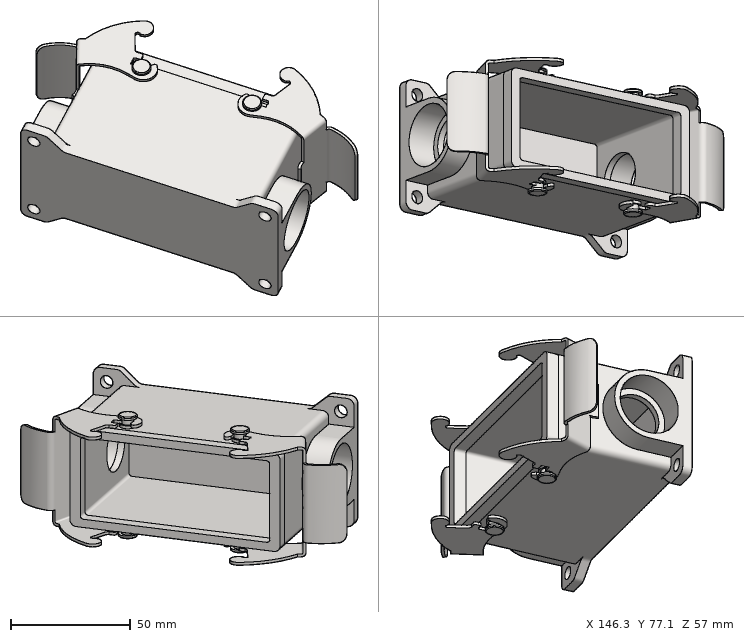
import cadquery as cq
import math


HOUSING_LENGTH = 94.2
HOUSING_WIDTH = 43.6
HOUSING_HEIGHT = 56.8
HOUSING_CORNER_RADIUS = 2.8
SIDE_WALL = 3.7
END_WALL = 4.7

FLANGE_LENGTH = 117.0
FLANGE_WIDTH = 57.0
FLANGE_THICKNESS = 4.4
FLANGE_CORNER_RADIUS = 3.2
EAR_INNER_X = 46.8
EAR_ROOT_X = 39.0
MOUNT_HOLE_DIAMETER = 5.5
MOUNT_HOLE_X = 52.5
MOUNT_HOLE_Z = 22.4

ENTRY_CENTER_Y = 20.0
ENTRY_OUTER_RADIUS = 16.1
ENTRY_BORE_DIAMETER = 27.0
ENTRY_HOLE_DIAMETER = 21.5
ENTRY_BORE_DEPTH = 13.0

FRAME_HEIGHT = 5.4

SHEET = 1.3
LEVER_WIDTH = 48.9
LEVER_BEND_RADIUS = 2.0
WEB_TILT = 21.5
WEB_HEIGHT = 13.8
WEB_BOTTOM = (-51.8, 44.2)
WEB_EDGE = 2.0

PIN_X = 25.2
PIN_Y = 51.7
PIN_BOSS_DIAMETER = 6.9
PIN_SHAFT_DIAMETER = 5.1
PIN_HEAD_DIAMETER = 8.0
PIN_HEAD_THICKNESS = 1.3
PIN_HEAD_CHAMFER = 0.5
PIN_TIP_Z = 27.0
PIVOT_RADIUS = 2.6

HOOK_CENTER = (-32.8, 73.3)
HOOK_RADIUS = 3.8
EAR_CENTER = (-24.7, 52.7)
EAR_RADIUS = 6.0
NOSE_END_X = -27.7
NOSE_TOP_Y = 59.9
NOSE_CORNER_RADIUS = 0.7
NOTCH_X = -30.7
NOTCH_BOTTOM_Y = 53.3

THUMB_WIDTH = 34.8
THUMB_CORNER_RADIUS = 3.7
THUMB_BENDS = [(2.0, 76.0), (24.3, 38.5)]
CATCH_WIDTH = 15.5
CATCH_BENDS = [(4.7, -52.0)]


def on_circle(center, radius, degrees):
    angle = math.radians(degrees)
    return (center[0] + radius * math.cos(angle), center[1] + radius * math.sin(angle))


WEB_TOP = on_circle(WEB_BOTTOM, WEB_HEIGHT, 90 + WEB_TILT)


def upright_block(length, width, height, corner_radius, base_y):
    """Block standing on the plane Y = base_y, with its four upright edges rounded."""
    block = cq.Workplane("XY").box(length, height, width, centered=(True, False, True))
    return block.edges("|Y").fillet(corner_radius).translate((0, base_y, 0))


def cavity(base_y, height):
    inner_radius = HOUSING_CORNER_RADIUS / 2
    return upright_block(HOUSING_LENGTH - 2 * END_WALL, HOUSING_WIDTH - 2 * SIDE_WALL, height, inner_radius, base_y)


def make_flange():
    """Plate whose four mounting ears stand out beyond the width of the housing."""
    quarter = [
        (FLANGE_LENGTH / 2, FLANGE_WIDTH / 2),
        (EAR_INNER_X, FLANGE_WIDTH / 2),
        (EAR_ROOT_X, HOUSING_WIDTH / 2),
    ]
    outline = quarter + [(-x, z) for x, z in reversed(quarter)]
    outline += [(-x, -z) for x, z in quarter]
    outline += [(x, -z) for x, z in reversed(quarter)]
    plate = cq.Workplane("XZ").polyline(outline).close().extrude(-FLANGE_THICKNESS)
    plate = plate.edges("|Y").fillet(FLANGE_CORNER_RADIUS)
    holes = (
        cq.Workplane("XZ")
        .rect(2 * MOUNT_HOLE_X, 2 * MOUNT_HOLE_Z, forConstruction=True)
        .vertices()
        .circle(MOUNT_HOLE_DIAMETER / 2)
        .extrude(-FLANGE_THICKNESS)
    )
    return plate.cut(holes)


def end_cylinder(diameter, length):
    """Cylinder along X on the axis of the cable entries, centered on the housing."""
    return cq.Workplane("YZ").center(ENTRY_CENTER_Y, 0).circle(diameter / 2).extrude(length / 2, both=True)


def make_entry_bosses():
    """Round-topped bosses rising from the flange, made as one bar through the housing."""
    pedestal = cq.Workplane("XY").box(
        FLANGE_LENGTH, ENTRY_CENTER_Y, 2 * ENTRY_OUTER_RADIUS, centered=(True, False, True)
    )
    return pedestal.union(end_cylinder(2 * ENTRY_OUTER_RADIUS, FLANGE_LENGTH))


def make_pin():
    """Headed pin on the +Z wall of the housing, with a boss that spaces the lever from the wall."""
    wall_z = HOUSING_WIDTH / 2
    lever_inner_z = LEVER_WIDTH / 2 - SHEET
    root_z = wall_z - SIDE_WALL / 2
    boss = cq.Workplane("XY", origin=(0, 0, root_z)).circle(PIN_BOSS_DIAMETER / 2).extrude(lever_inner_z - root_z)
    shaft = cq.Workplane("XY", origin=(0, 0, root_z)).circle(PIN_SHAFT_DIAMETER / 2).extrude(PIN_TIP_Z - root_z)
    head = (
        cq.Workplane("XY", origin=(0, 0, PIN_TIP_Z - PIN_HEAD_THICKNESS))
        .circle(PIN_HEAD_DIAMETER / 2)
        .extrude(PIN_HEAD_THICKNESS)
        .faces(">Z")
        .chamfer(PIN_HEAD_CHAMFER)
    )
    return boss.union(shaft).union(head)


def make_housing():
    body = upright_block(HOUSING_LENGTH, HOUSING_WIDTH, HOUSING_HEIGHT, HOUSING_CORNER_RADIUS, 0)
    body = body.union(make_flange()).union(make_entry_bosses())
    body = body.cut(cavity(FLANGE_THICKNESS, HOUSING_HEIGHT))
    body = body.cut(end_cylinder(ENTRY_HOLE_DIAMETER, FLANGE_LENGTH))
    bores = end_cylinder(ENTRY_BORE_DIAMETER, FLANGE_LENGTH).cut(
        end_cylinder(ENTRY_BORE_DIAMETER, FLANGE_LENGTH - 2 * ENTRY_BORE_DEPTH)
    )
    body = body.cut(bores)
    for x in (-PIN_X, PIN_X):
        pin = make_pin().translate((x, PIN_Y, 0))
        body = body.union(pin).union(pin.mirror("XY"))
    return body


def make_frame():
    outer = upright_block(HOUSING_LENGTH, HOUSING_WIDTH, FRAME_HEIGHT, HOUSING_CORNER_RADIUS, HOUSING_HEIGHT)
    return outer.cut(cavity(HOUSING_HEIGHT, FRAME_HEIGHT))


def lever_side_profile():
    """Outline of a side plate in XY: hook above, ear around the pin, web edge at the left."""
    pivot = (-PIN_X, PIN_Y)
    notch_angle = 180 - math.degrees(math.asin((NOTCH_BOTTOM_Y - PIN_Y) / PIVOT_RADIUS))
    throat_x = pivot[0] + PIVOT_RADIUS
    r = NOSE_CORNER_RADIUS
    arc_share = r * (1 - math.sqrt(0.5))
    return (
        cq.Workplane("XY")
        .moveTo(*WEB_BOTTOM)
        .lineTo(*WEB_TOP)
        .lineTo(*on_circle(WEB_TOP, WEB_EDGE, WEB_TILT))
        .lineTo(-53.4, 58.4)
        .threePointArc((-47.0, 67.9), on_circle(HOOK_CENTER, HOOK_RADIUS, 117))
        .threePointArc(on_circle(HOOK_CENTER, HOOK_RADIUS, 0), on_circle(HOOK_CENTER, HOOK_RADIUS, -97))
        .threePointArc((-34.8, 69.8), (-35.1, 68.5))
        .lineTo(-32.2, 61.8)
        .threePointArc((-31.6, 60.6), (-30.6, NOSE_TOP_Y))
        .lineTo(NOSE_END_X - r, NOSE_TOP_Y)
        .threePointArc((NOSE_END_X - arc_share, NOSE_TOP_Y - arc_share), (NOSE_END_X, NOSE_TOP_Y - r))
        .lineTo(NOSE_END_X, HOUSING_HEIGHT)
        .lineTo(NOTCH_X + r, HOUSING_HEIGHT)
        .threePointArc((NOTCH_X + arc_share, HOUSING_HEIGHT - arc_share), (NOTCH_X, HOUSING_HEIGHT - r))
        .lineTo(NOTCH_X, NOTCH_BOTTOM_Y)
        .lineTo(*on_circle(pivot, PIVOT_RADIUS, notch_angle))
        .threePointArc(on_circle(pivot, PIVOT_RADIUS, -90), (throat_x, PIN_Y))
        .lineTo(throat_x, 55.2)
        .lineTo(-21.7, 56.5)
        .threePointArc((-20.8, 56.8), on_circle(EAR_CENTER, EAR_RADIUS, 36))
        .threePointArc(on_circle(EAR_CENTER, EAR_RADIUS, -30), on_circle(EAR_CENTER, EAR_RADIUS, -102))
        .lineTo(-31.0, 48.0)
        .threePointArc((-41.3, 48.1), on_circle(WEB_BOTTOM, WEB_EDGE, WEB_TILT))
        .close()
    )


def web_plane(origin):
    """Plane square to the web: its x points into the lever, its normal runs up the web."""
    tilt = math.radians(WEB_TILT)
    return cq.Plane(
        origin=(origin[0], origin[1], 0),
        xDir=(math.cos(tilt), math.sin(tilt), 0),
        normal=(-math.sin(tilt), math.cos(tilt), 0),
    )


def lever_channel():
    """U-shaped sheet section that runs along the web: web on the outside, plates on both sides."""
    reach = 58.5

    def bar(start, width, bend_radius):
        block = cq.Workplane("XY").box(reach, width, 2 * reach, centered=(False, True, True))
        return block.faces("<X").edges("|Z").fillet(bend_radius).translate((start, 0, 0))

    section = bar(0, LEVER_WIDTH, LEVER_BEND_RADIUS).cut(
        bar(SHEET, LEVER_WIDTH - 2 * SHEET, LEVER_BEND_RADIUS - SHEET)
    )
    plane = web_plane(WEB_BOTTOM)
    return cq.Workplane(section.val().moved(cq.Location(plane)))


def bent_strip(start, heading, bends, width):
    """Sheet strip that leaves start in the heading and follows (middle radius, turn) bends in XY."""
    left = [on_circle(start, SHEET / 2, heading + 90)]
    right = [on_circle(start, SHEET / 2, heading - 90)]
    position = start
    for radius, turn in bends:
        side = math.copysign(90, turn)
        center = on_circle(position, radius, heading + side)
        left_radius = radius - math.copysign(SHEET / 2, turn)
        right_radius = radius + math.copysign(SHEET / 2, turn)
        for swept in (turn / 2, turn):
            spoke = heading + swept - side
            left.append(on_circle(center, left_radius, spoke))
            right.append(on_circle(center, right_radius, spoke))
        heading += turn
        position = on_circle(center, radius, heading - side)
    outline = cq.Workplane("XY").moveTo(*left[0])
    for i in range(1, len(left), 2):
        outline = outline.threePointArc(left[i], left[i + 1])
    outline = outline.lineTo(*right[-1])
    for i in range(len(right) - 2, 0, -2):
        outline = outline.threePointArc(right[i], right[i - 1])
    return outline.close().extrude(width / 2, both=True), position


def web_middle(outer_point):
    """Point at half the sheet thickness behind a point of the outer web face."""
    return on_circle(outer_point, SHEET / 2, WEB_TILT)


def make_left_lever():
    plates = lever_side_profile().extrude(LEVER_WIDTH / 2, both=True)
    lever = plates.intersect(lever_channel())
    thumb, thumb_end = bent_strip(web_middle(WEB_TOP), 90 + WEB_TILT, THUMB_BENDS, THUMB_WIDTH)
    end_box = cq.selectors.BoxSelector(
        (thumb_end[0] - SHEET, thumb_end[1] - SHEET, -THUMB_WIDTH),
        (thumb_end[0] + SHEET, thumb_end[1] + SHEET, THUMB_WIDTH),
    )
    thumb = thumb.faces("|Z").edges(end_box).fillet(THUMB_CORNER_RADIUS)
    catch, _ = bent_strip(web_middle(WEB_BOTTOM), WEB_TILT - 90, CATCH_BENDS, CATCH_WIDTH)
    return lever.union(thumb).union(catch)


housing = make_housing()
frame = make_frame()
left_lever = make_left_lever()
levers = [left_lever, left_lever.mirror("YZ")]

result = cq.Compound.makeCompound([housing.val(), frame.val(), *[lever.val() for lever in levers]])